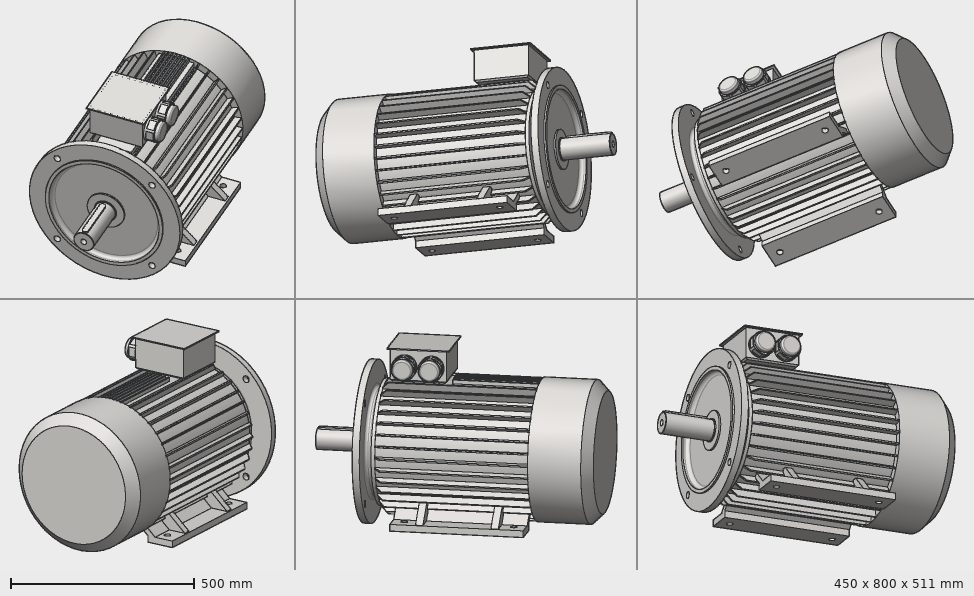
import cadquery as cq
import math


FLANGE_DIA = 450.0
FLANGE_THICK = 20.0
SPIGOT_DIA = 350.0
SPIGOT_HEIGHT = 5.0
RECESS_DIA = 330.0
RECESS_DEPTH = 17.0
RECESS_FILLET = 11.0
BOLT_CIRCLE_DIA = 400
BOLT_HOLE_DIA = 19.0
NECK_DIA = 300.0
NECK_FRONT_FILLET = 10.0
NECK_BACK_FILLET = 8.0
SHIELD_DIA = 350.0
SHIELD_FRONT = 43.0
BODY_FRONT = 54.0

SHAFT_DIA = 60.0
SHAFT_LENGTH = 140.0
SHAFT_CHAMFER = 1.2
CENTRE_DIA = 18.0
CENTRE_ANGLE = 90
KEY_WIDTH = 18.0
KEY_TOP = 34.0
KEY_END = 137.0
KEY_LENGTH = 131.0
KEY_DEPTH = 11.0
HUB_DIA = 110.0
HUB_HEIGHT = 5.0
COLLAR_DIA = 65.0
COLLAR_HEIGHT = 3.0

CORE_DIA = 352
FIN_DIA = 394.0
FIN_THICK = 4.0
FIN_STEP = 10
FIN_BEVEL = 17.0
FIN_OVERLAP = 8
PAD_WIDTH = 106.0
PAD_TOP = 182.0
PAD_FRONT = 61.0
PAD_FIN_COUNT = 7
PAD_FIN_PITCH = 12.0
PAD_FIN_FRONT = 243.0

COVER_DIA = 397.0
COVER_FRONT = 482.0
COVER_BACK = 660.0
COVER_CHAMFER = 30.0

FOOT_SPAN = 394.0
FOOT_WIDTH = 80
FOOT_LENGTH = 371.0
FOOT_THICK = 19.0
FOOT_BOTTOM = -200
FOOT_CENTRE = 285.0
FOOT_HOLE_DIA = 18.0
FOOT_HOLE_SPAN_X = 318.0
FOOT_HOLE_SPAN_Y = 305.0
WEB_BASE = 141.0
WEB_RUN = 56
FOOT_SLOPE = 42
RIB_BASE = 191.0
RIB_RUN = 58.0
RIB_THICK = 21.0
RIB_PITCH = 210.0

BOX_SIDE = 157.0
BOX_CENTRE = 156.0
BOX_BOTTOM = 192
BOX_CHAMFER = 5.0
BOX_NECK_SIDE = 104
LID_SIDE = 172.0
LID_THICK = 3.0
LID_TOP = 286.0
GLAND_PITCH = 75.0
GLAND_HEIGHT = 234.0
GLAND_DIA = 67.0
GLAND_FLATS = 62.0
GLAND_LENGTH = 30.0
FLATS_START = 6.0
FLATS_LENGTH = 22.0
CAP_DIA = 58.0
CAP_LENGTH = 14.0
CAP_FILLET = 5.0


def disc(diameter, y_start, y_end):
    """Cylinder on the shaft axis from y_start to y_end."""
    return (
        cq.Workplane("XZ", origin=(0, y_start, 0))
        .circle(diameter / 2)
        .extrude(y_start - y_end)
    )


def block(x_size, y_range, z_range, x_centre=0.0):
    """Box centred on x_centre that fills the given y and z ranges."""
    size_y = y_range[1] - y_range[0]
    size_z = z_range[1] - z_range[0]
    return (
        cq.Workplane("XY", origin=(x_centre, y_range[0] + size_y / 2, z_range[0]))
        .box(x_size, size_y, size_z, centered=(True, True, False))
    )


def end_shield():
    """Flange, grooved neck and shield ring, with the recess in the front face."""
    neck_r = NECK_DIA / 2
    diagonal = 1 - math.sqrt(0.5)
    front_mid = NECK_FRONT_FILLET * diagonal
    back_mid = NECK_BACK_FILLET * diagonal
    profile = (
        cq.Workplane("XY")
        .moveTo(0, -SPIGOT_HEIGHT)
        .lineTo(SPIGOT_DIA / 2, -SPIGOT_HEIGHT)
        .lineTo(SPIGOT_DIA / 2, 0)
        .lineTo(FLANGE_DIA / 2, 0)
        .lineTo(FLANGE_DIA / 2, FLANGE_THICK)
        .lineTo(neck_r + NECK_FRONT_FILLET, FLANGE_THICK)
        .threePointArc(
            (neck_r + front_mid, FLANGE_THICK + front_mid), (neck_r, FLANGE_THICK + NECK_FRONT_FILLET)
        )
        .lineTo(neck_r, SHIELD_FRONT - NECK_BACK_FILLET)
        .threePointArc(
            (neck_r + back_mid, SHIELD_FRONT - back_mid), (neck_r + NECK_BACK_FILLET, SHIELD_FRONT)
        )
        .lineTo(SHIELD_DIA / 2, SHIELD_FRONT)
        .lineTo(SHIELD_DIA / 2, BODY_FRONT)
        .lineTo(0, BODY_FRONT)
        .close()
    )
    shield = profile.revolve(360, (0, 0, 0), (0, 1, 0))

    recess_floor = RECESS_DEPTH - SPIGOT_HEIGHT
    recess = disc(RECESS_DIA, -SPIGOT_HEIGHT, recess_floor).faces(">Y").edges().fillet(RECESS_FILLET)
    hub_face = recess_floor - HUB_HEIGHT
    hub = disc(HUB_DIA, hub_face, recess_floor)
    collar = disc(COLLAR_DIA, hub_face - COLLAR_HEIGHT, recess_floor)

    bolt_holes = (
        cq.Workplane("XZ")
        .polarArray(BOLT_CIRCLE_DIA / 2, 45, 360, 4)
        .circle(BOLT_HOLE_DIA / 2)
        .extrude(-FLANGE_THICK)
    )
    return shield.cut(recess).union(hub).union(collar).cut(bolt_holes)


def shaft():
    """Chamfered shaft end with a conical centre hole and a round-ended key."""
    rod = disc(SHAFT_DIA, -SHAFT_LENGTH, BODY_FRONT).faces("<Y").chamfer(SHAFT_CHAMFER)
    centre_r = CENTRE_DIA / 2
    cone_depth = centre_r / math.tan(math.radians(CENTRE_ANGLE / 2))
    cone = (
        cq.Workplane("XY", origin=(0, -SHAFT_LENGTH, 0))
        .polyline([(0, 0), (centre_r, 0), (0, cone_depth)])
        .close()
        .revolve(360, (0, 0, 0), (0, 1, 0))
    )
    key = (
        cq.Workplane("XY", origin=(0, KEY_LENGTH / 2 - KEY_END, KEY_TOP))
        .slot2D(KEY_LENGTH, KEY_WIDTH, 90)
        .extrude(-KEY_DEPTH)
    )
    return rod.cut(cone).union(key)


def fin_envelope():
    """Solid of revolution that bevels the front ends of the fins and limits their height."""
    fin_r = FIN_DIA / 2
    return (
        cq.Workplane("XY")
        .moveTo(0, BODY_FRONT)
        .lineTo(fin_r - FIN_BEVEL, BODY_FRONT)
        .lineTo(fin_r, BODY_FRONT + FIN_BEVEL)
        .lineTo(fin_r, COVER_FRONT)
        .lineTo(0, COVER_FRONT)
        .close()
        .revolve(360, (0, 0, 0), (0, 1, 0))
    )


def ribbed_body():
    """Core with radial fins all round, except where the finned flat pad lies on top.

    The fin blanks overlap the core and overshoot the tip; the envelope trims the excess.
    """
    core = disc(CORE_DIA, BODY_FRONT, COVER_FRONT)
    fin_root = CORE_DIA / 2 - FIN_OVERLAP
    fin_tip = FIN_DIA / 2 + FIN_OVERLAP
    fin = block(FIN_THICK, (BODY_FRONT, COVER_FRONT), (fin_root, fin_tip))
    fins = cq.Workplane("XY")
    for angle in range(2 * FIN_STEP, 361 - 2 * FIN_STEP, FIN_STEP):
        fins = fins.add(fin.rotate((0, 0, 0), (0, 1, 0), angle))
    for index in range(PAD_FIN_COUNT):
        x = (index - (PAD_FIN_COUNT - 1) / 2) * PAD_FIN_PITCH
        fins = fins.add(block(FIN_THICK, (PAD_FIN_FRONT, COVER_FRONT), (fin_root, fin_tip), x))
    trimmed_fins = fins.combine().intersect(fin_envelope())

    pad = block(PAD_WIDTH, (PAD_FRONT, COVER_FRONT), (0, PAD_TOP))
    return core.union(pad).union(trimmed_fins)


def fan_cover():
    """Plain cover with a chamfered back edge."""
    return disc(COVER_DIA, COVER_FRONT, COVER_BACK).faces(">Y").chamfer(COVER_CHAMFER)


def foot():
    """Foot on the -X side: drilled sole, sloping web into the core and two ribs."""
    outer = FOOT_SPAN / 2
    inner = outer - FOOT_WIDTH
    sole_top = FOOT_BOTTOM + FOOT_THICK
    slope = math.tan(math.radians(FOOT_SLOPE))
    web_top = sole_top + WEB_RUN * slope
    rib_top = sole_top + RIB_RUN * slope
    front = FOOT_CENTRE - FOOT_LENGTH / 2
    sole_and_web = (
        cq.Workplane("XZ", origin=(0, front, 0))
        .polyline(
            [
                (-outer, FOOT_BOTTOM),
                (-inner, FOOT_BOTTOM),
                (-inner, sole_top),
                (-inner + WEB_RUN, web_top),
                (-WEB_BASE + WEB_RUN, web_top),
                (-WEB_BASE, sole_top),
                (-outer, sole_top),
            ]
        )
        .close()
        .extrude(-FOOT_LENGTH)
    )
    holes = (
        cq.Workplane("XY", origin=(-FOOT_HOLE_SPAN_X / 2, FOOT_CENTRE, FOOT_BOTTOM))
        .rarray(8, FOOT_HOLE_SPAN_Y, 1, 2)
        .circle(FOOT_HOLE_DIA / 2)
        .extrude(FOOT_THICK)
    )
    shape = sole_and_web.cut(holes)
    for side in (-1, 1):
        y_start = FOOT_CENTRE + side * RIB_PITCH / 2 - RIB_THICK / 2
        rib = (
            cq.Workplane("XZ", origin=(0, y_start, 0))
            .polyline(
                [
                    (-RIB_BASE, sole_top),
                    (-RIB_BASE + RIB_RUN, rib_top),
                    (-inner, rib_top),
                    (-inner, sole_top),
                ]
            )
            .close()
            .extrude(-RIB_THICK)
        )
        shape = shape.union(rib)
    return shape


def terminal_box():
    """Box on a square neck above the pad, closed by an overhanging lid."""
    half_neck = BOX_NECK_SIDE / 2
    half_box = BOX_SIDE / 2
    half_lid = LID_SIDE / 2
    lid_bottom = LID_TOP - LID_THICK
    neck = block(BOX_NECK_SIDE, (BOX_CENTRE - half_neck, BOX_CENTRE + half_neck), (PAD_TOP, BOX_BOTTOM))
    box = block(BOX_SIDE, (BOX_CENTRE - half_box, BOX_CENTRE + half_box), (BOX_BOTTOM, lid_bottom))
    box = box.faces("<Z").chamfer(BOX_CHAMFER)
    lid = block(LID_SIDE, (BOX_CENTRE - half_lid, BOX_CENTRE + half_lid), (lid_bottom, LID_TOP))
    return neck.union(box).union(lid)


def gland(y):
    """Cable gland on the +X wall of the box: nut with six flats and a rounded cap."""
    base = cq.Workplane("YZ", origin=(BOX_SIDE / 2, y, GLAND_HEIGHT))
    nut = base.circle(GLAND_DIA / 2).extrude(GLAND_LENGTH)
    across_corners = GLAND_FLATS / math.cos(math.pi / 6)
    trim = (
        base.workplane(offset=FLATS_START)
        .circle(GLAND_DIA)
        .polygon(6, across_corners)
        .extrude(FLATS_LENGTH)
        .rotate((0, y, GLAND_HEIGHT), (1, y, GLAND_HEIGHT), 90)
    )
    cap = base.workplane(offset=GLAND_LENGTH).circle(CAP_DIA / 2).extrude(CAP_LENGTH)
    cap = cap.faces(">X").edges().fillet(CAP_FILLET)
    return nut.cut(trim).union(cap)


near_foot = foot()
result = (
    ribbed_body()
    .union(fan_cover())
    .union(end_shield())
    .union(shaft())
    .union(near_foot)
    .union(near_foot.mirror("YZ"))
    .union(terminal_box())
)
for side in (-1, 1):
    result = result.union(gland(BOX_CENTRE + side * GLAND_PITCH / 2))